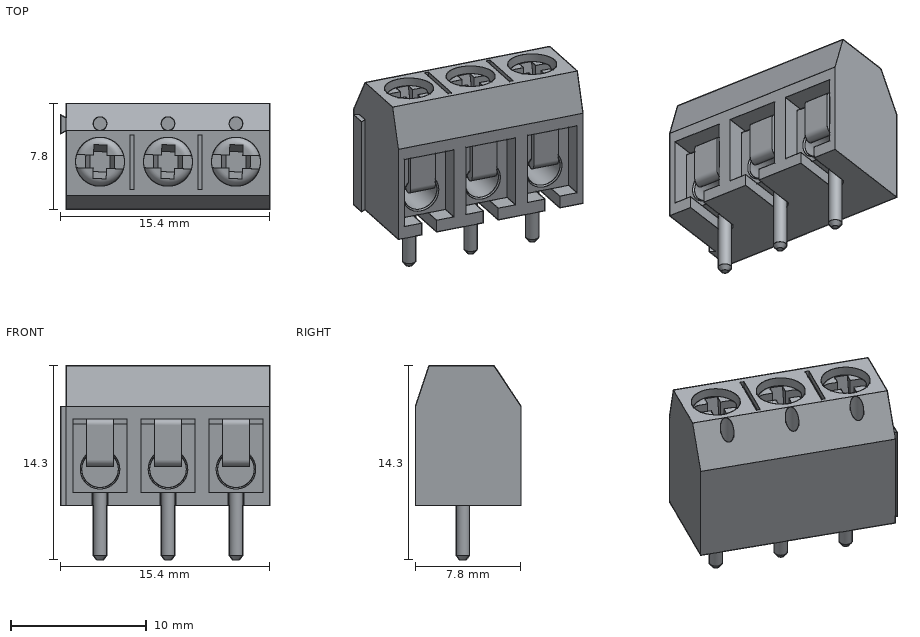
import cadquery as cq


POLES = 3

BODY_LENGTH = 15.0
BODY_DEPTH = 7.8
BODY_HEIGHT = 10.3
SHOULDER_HEIGHT = 7.3
FRONT_BEVEL = 1.0
BACK_BEVEL = 2.0
PITCH = BODY_LENGTH / POLES
POLE_CENTRES = [PITCH * (i + 0.5) for i in range(POLES)]

RIB_REACH = 0.4
RIB_CENTRE_Y = BODY_DEPTH - 1.54
RIB_OUTER_WIDTH = 1.42
RIB_ROOT_WIDTH = 0.95

POCKET_WIDTH = 4.0
POCKET_BOTTOM = 0.95
POCKET_TOP = 6.38
POCKET_DEPTH = 1.45
CLAMP_TOP = 6.0
CLAMP_GAP_DEPTH = 0.5
WIRE_HOLE_DIAMETER = 2.7
WIRE_HOLE_CHAMFER = 0.11
WIRE_HOLE_Z = 2.68
WIRE_HOLE_DEPTH = 4.0

LEAF_WIDTH = 2.0
LEAF_FACE_Y = 1.08
LEAF_BEND = 0.48
LEAF_BOTTOM = 2.86

PIN_DIAMETER = 1.0
PIN_LENGTH = 4.0
PIN_CHAMFER_RUN = 0.26
PIN_CHAMFER_HEIGHT = 0.34
SLOT_WIDTH = 1.2

SCREW_Y = 3.5
SCREW_DIAMETER = 3.6
SCREW_RECESS = 0.4
HEAD_ROUNDING = 0.6
DRIVE_WIDTH = 0.97
DRIVE_TOP_SPAN = 2.5
DRIVE_BOTTOM_SPAN = 1.48
DRIVE_DEPTH = 2.0
DRIVE_SLOT_DEPTH = 0.74
DRIVE_TURN = -1.5

PROBE_DIAMETER = 1.0
PROBE_Y = BODY_DEPTH - 1.5

GROOVE_WIDTH = 0.3
GROOVE_LENGTH = 4.0
GROOVE_DEPTH = 0.5
GROOVE_OFFSET = -0.15
GROOVE_Y = 3.46


def block(width, depth, height, x, y, z):
    """Box centred on x, starting at y and z."""
    return cq.Workplane("XY").box(width, depth, height, centered=(True, False, False)).translate((x, y, z))


def cylinder(diameter, height, x, y, z):
    """Upright cylinder standing on z."""
    return cq.Workplane("XY", origin=(x, y, z)).circle(diameter / 2).extrude(height)


def housing():
    outline = [
        (0, 0),
        (BODY_DEPTH, 0),
        (BODY_DEPTH, SHOULDER_HEIGHT),
        (BODY_DEPTH - BACK_BEVEL, BODY_HEIGHT),
        (FRONT_BEVEL, BODY_HEIGHT),
        (0, SHOULDER_HEIGHT),
    ]
    return cq.Workplane("YZ").polyline(outline).close().extrude(BODY_LENGTH)


def dovetail_rib():
    outline = [
        (0, RIB_CENTRE_Y - RIB_ROOT_WIDTH / 2),
        (-RIB_REACH, RIB_CENTRE_Y - RIB_OUTER_WIDTH / 2),
        (-RIB_REACH, RIB_CENTRE_Y + RIB_OUTER_WIDTH / 2),
        (0, RIB_CENTRE_Y + RIB_ROOT_WIDTH / 2),
    ]
    return cq.Workplane("XY").polyline(outline).close().extrude(SHOULDER_HEIGHT)


def wire_pocket(x):
    """Pocket, gap above the clamp and chamfered wire hole, as one cutter."""
    pocket = block(POCKET_WIDTH, POCKET_DEPTH, POCKET_TOP - POCKET_BOTTOM, x, 0, POCKET_BOTTOM)
    gap = block(POCKET_WIDTH, POCKET_DEPTH + CLAMP_GAP_DEPTH, POCKET_TOP - CLAMP_TOP, x, 0, CLAMP_TOP)
    radius = WIRE_HOLE_DIAMETER / 2
    half_section = [
        (0, 0),
        (radius + WIRE_HOLE_CHAMFER, 0),
        (radius, WIRE_HOLE_CHAMFER),
        (radius, WIRE_HOLE_DEPTH),
        (0, WIRE_HOLE_DEPTH),
    ]
    hole = (
        cq.Workplane("XY")
        .polyline(half_section)
        .close()
        .revolve(360, (0, 0, 0), (0, 1, 0))
        .translate((x, POCKET_DEPTH, WIRE_HOLE_Z))
    )
    return pocket.union(gap).union(hole)


def guard_leaf(x):
    """Leaf with a quarter-round bend at its top and a half-round lower edge."""
    middle = LEAF_FACE_Y + LEAF_BEND
    back = middle + LEAF_BEND
    bend_offset = LEAF_BEND * (1 - 0.5 ** 0.5)
    return (
        cq.Workplane("YZ", origin=(x - LEAF_WIDTH / 2, 0, 0))
        .moveTo(back, LEAF_BOTTOM + LEAF_BEND)
        .threePointArc((middle, LEAF_BOTTOM), (LEAF_FACE_Y, LEAF_BOTTOM + LEAF_BEND))
        .lineTo(LEAF_FACE_Y, POCKET_TOP - LEAF_BEND)
        .threePointArc(
            (LEAF_FACE_Y + bend_offset, POCKET_TOP - bend_offset),
            (middle, POCKET_TOP),
        )
        .lineTo(back, POCKET_TOP)
        .close()
        .extrude(LEAF_WIDTH)
    )


def pin_slot(x):
    """Slot through the pocket floor, open at the front and round behind the pin."""
    straight = block(SLOT_WIDTH, SCREW_Y, POCKET_BOTTOM, x, 0, 0)
    return straight.union(cylinder(SLOT_WIDTH, POCKET_BOTTOM, x, SCREW_Y, 0))


def solder_pin(x):
    pin = cylinder(PIN_DIAMETER, PIN_LENGTH + POCKET_BOTTOM, x, SCREW_Y, -PIN_LENGTH)
    return pin.faces("<Z").chamfer(PIN_CHAMFER_HEIGHT, PIN_CHAMFER_RUN)


def screw_head(x):
    """Rounded screw head with a cross recess and a straight slot along X."""
    screw_top = BODY_HEIGHT - SCREW_RECESS
    cross_bottom = screw_top - DRIVE_DEPTH
    head = cylinder(SCREW_DIAMETER, DRIVE_DEPTH, x, SCREW_Y, cross_bottom)
    head = head.faces(">Z").edges().fillet(HEAD_ROUNDING)
    arm_outline = [
        (-DRIVE_BOTTOM_SPAN / 2, 0),
        (DRIVE_BOTTOM_SPAN / 2, 0),
        (DRIVE_TOP_SPAN / 2, DRIVE_DEPTH),
        (-DRIVE_TOP_SPAN / 2, DRIVE_DEPTH),
    ]
    arm = cq.Workplane("XZ").polyline(arm_outline).close().extrude(DRIVE_WIDTH / 2, both=True)
    cross = arm.union(arm.rotate((0, 0, 0), (0, 0, 1), 90))
    slot_bottom = DRIVE_DEPTH - DRIVE_SLOT_DEPTH
    slot = block(SCREW_DIAMETER, DRIVE_WIDTH, DRIVE_SLOT_DEPTH, 0, -DRIVE_WIDTH / 2, slot_bottom)
    drive = cross.union(slot).rotate((0, 0, 0), (0, 0, 1), DRIVE_TURN)
    return head.cut(drive.translate((x, SCREW_Y, cross_bottom)))


def screw_well(x):
    """Room for the screw head, down to the bottom of its cross recess."""
    depth = SCREW_RECESS + DRIVE_DEPTH
    return cylinder(SCREW_DIAMETER, depth, x, SCREW_Y, BODY_HEIGHT - depth)


def probe_hole(x):
    return cylinder(PROBE_DIAMETER, BODY_HEIGHT - SHOULDER_HEIGHT, x, PROBE_Y, SHOULDER_HEIGHT)


def pole_groove(x):
    front_end = GROOVE_Y - GROOVE_LENGTH / 2
    return block(GROOVE_WIDTH, GROOVE_LENGTH, GROOVE_DEPTH, x, front_end, BODY_HEIGHT - GROOVE_DEPTH)


result = housing().union(dovetail_rib())

for pole_x in POLE_CENTRES:
    for cutter in (wire_pocket, pin_slot, screw_well, probe_hole):
        result = result.cut(cutter(pole_x))
    for metal_part in (guard_leaf, solder_pin, screw_head):
        result = result.union(metal_part(pole_x))

for boundary in range(1, POLES):
    result = result.cut(pole_groove(boundary * PITCH + GROOVE_OFFSET))